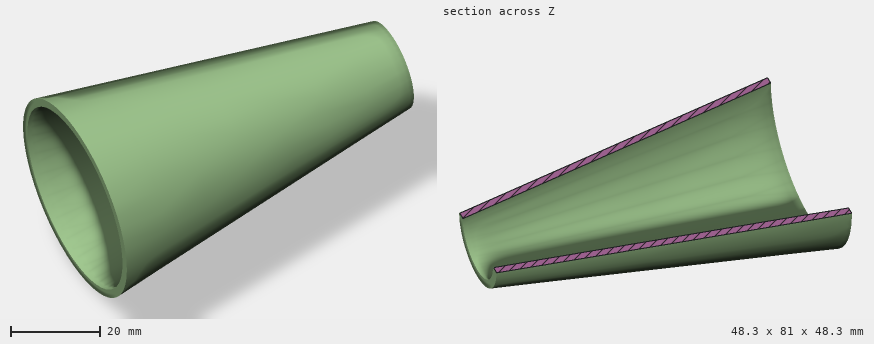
import cadquery as cq

length = 81.0
wide_diameter = 48.3
narrow_diameter = 21.3
wall = 2.0

wide_radius = wide_diameter / 2
narrow_radius = narrow_diameter / 2

wall_section = (
    cq.Workplane("XY")
    .moveTo(wide_radius - wall, 0)
    .lineTo(wide_radius, 0)
    .lineTo(narrow_radius, length)
    .lineTo(narrow_radius - wall, length)
    .close()
)

result = wall_section.revolve(360, (0, 0, 0), (0, 1, 0))